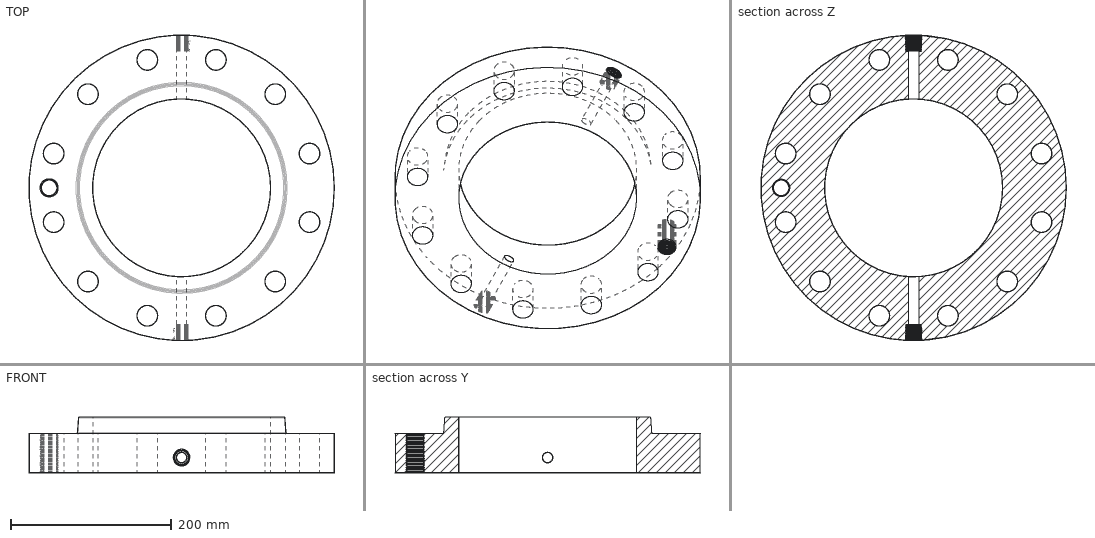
import cadquery as cq
import math

inch = 25.4

flange_diameter = 381.0
flange_thickness = 49.2
overall_height = 69.93
bore_diameter = 221.5

hub_base_diameter = 260.4
hub_top_diameter = 257.4
hub_edge_radius = 1.5
hub_root_radius = 1.5

bolt_count = 12
bolt_circle_diameter = 330.2
bolt_hole_diameter = 25.4
bolt_pitch_angle = 360.0 / bolt_count

jack_major_diameter = 22.6
jack_minor_diameter = 19.3
jack_thread_pitch = inch / 9

tap_directions = (0, 180)
tap_height = 19.1
tap_drill_diameter = 12.7
tap_major_diameter = 21.0
tap_thread_pitch = inch / 14
tap_thread_cut_depth = 1.4
tap_thread_turns = 11
tap_taper = 1.0 / 16


def make_body():
    """Flange ring and hub, bored right through."""
    flange = cq.Workplane("XY").circle(flange_diameter / 2).extrude(flange_thickness)
    hub_height = overall_height - flange_thickness
    hub_draft = math.degrees(math.atan((hub_base_diameter - hub_top_diameter) / 2 / hub_height))
    hub = (
        cq.Workplane("XY", origin=(0, 0, flange_thickness))
        .circle(hub_base_diameter / 2)
        .extrude(hub_height, taper=hub_draft)
        .faces(">Z")
        .edges()
        .fillet(hub_edge_radius)
    )
    at_root = cq.selectors.BoxSelector(
        (-hub_base_diameter, -hub_base_diameter, flange_thickness - hub_root_radius),
        (hub_base_diameter, hub_base_diameter, flange_thickness + hub_root_radius),
    )
    smallest_circle = cq.selectors.RadiusNthSelector(0)
    body = flange.union(hub).edges(at_root).edges(smallest_circle).fillet(hub_root_radius)
    bore = cq.Workplane("XY").circle(bore_diameter / 2).extrude(overall_height)
    return body.cut(bore)


def make_bolt_holes():
    return (
        cq.Workplane("XY")
        .polarArray(bolt_circle_diameter / 2, bolt_pitch_angle / 2, 360, bolt_count)
        .circle(bolt_hole_diameter / 2)
        .extrude(flange_thickness)
    )


def make_thread_cutter(major_radius, cut_depth, pitch, turns, taper=0.0):
    """Ringed thread form about the Z axis, from its mouth at Z = 0 down to Z = -turns * pitch.

    The taper is the loss of diameter per unit of depth.
    """
    outline = [(0, 0), (major_radius, 0)]
    for turn in range(turns):
        ridge_depth = (turn + 0.5) * pitch
        groove_depth = (turn + 1) * pitch
        outline.append((major_radius - cut_depth - ridge_depth * taper / 2, -ridge_depth))
        outline.append((major_radius - groove_depth * taper / 2, -groove_depth))
    outline.append((0, -turns * pitch))
    return cq.Workplane("XZ").polyline(outline).close().revolve(360, (0, 0, 0), (0, 1, 0))


def make_jack_hole():
    turns = math.ceil(flange_thickness / jack_thread_pitch)
    cut_depth = (jack_major_diameter - jack_minor_diameter) / 2
    cutter = make_thread_cutter(jack_major_diameter / 2, cut_depth, jack_thread_pitch, turns)
    return cutter.translate((-bolt_circle_diameter / 2, 0, flange_thickness))


def make_pressure_tap(direction):
    """Tap entering the flange rim, turned about Z from the -Y side by the given angle."""
    drill = cq.Workplane("XY").circle(tap_drill_diameter / 2).extrude(-flange_diameter / 2)
    thread = make_thread_cutter(
        tap_major_diameter / 2, tap_thread_cut_depth, tap_thread_pitch, tap_thread_turns, tap_taper
    )
    tap = drill.union(thread).rotate((0, 0, 0), (1, 0, 0), 90)
    tap = tap.translate((0, -flange_diameter / 2, tap_height))
    return tap.rotate((0, 0, 0), (0, 0, 1), direction)


result = make_body().cut(make_bolt_holes()).cut(make_jack_hole())
for tap_direction in tap_directions:
    result = result.cut(make_pressure_tap(tap_direction))